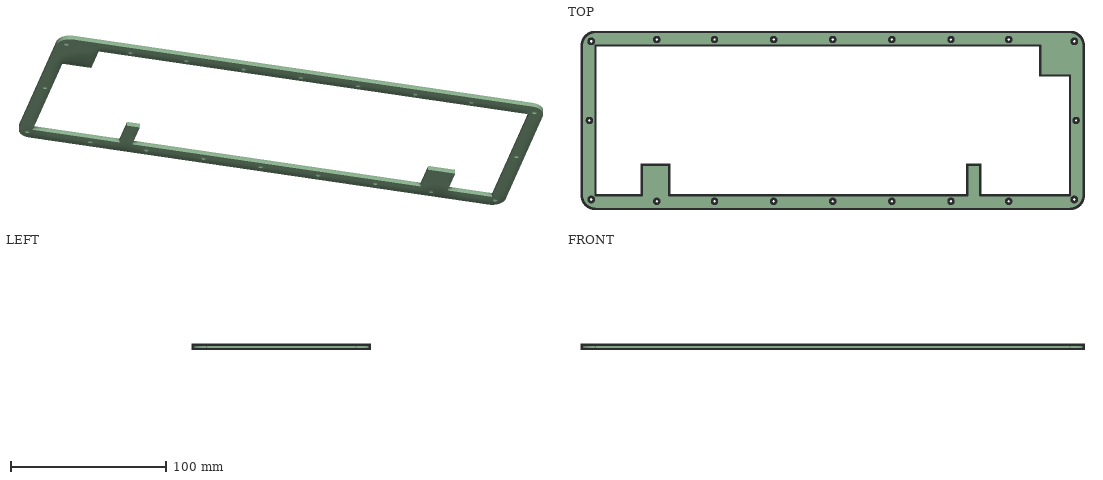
import cadquery as cq
import math

key_unit = 19.05
units_wide = 17
units_deep = 6
thickness = 3.0
border = 9.0
corner_radius = border

length = units_wide * key_unit
depth = units_deep * key_unit
opening_length = length - 2 * border
opening_depth = depth - 2 * border

front_pad_top = -1.5 * key_unit
wide_pad_centre_x = -6 * key_unit
wide_pad_width = 18.0
narrow_pad_centre_x = 90.9
narrow_pad_width = 8.5
corner_pad_size = 19.25

hole_diameter = 3.1
corner_hole_diameter = 3.3
hole_inset = 5.0
rail_hole_pitch = 2 * key_unit
outer_rail_hole_x = 113.45


def make_box(left, bottom, width, height):
    """Box of the plate thickness, given by its lower-left corner."""
    box = cq.Workplane("XY").rect(width, height, centered=False).extrude(thickness)
    return box.translate((left, bottom, 0))


def make_frame():
    """Rounded plate with a sharp-cornered rectangular opening."""
    plate = make_box(-length / 2, -depth / 2, length, depth)
    plate = plate.edges("|Z").fillet(corner_radius)
    opening = make_box(-opening_length / 2, -opening_depth / 2, opening_length, opening_depth)
    return plate.cut(opening)


def add_pads(frame):
    """Two pads on the front rail and one in the rear right corner of the opening."""
    front_edge = -opening_depth / 2
    front_pads = (
        (wide_pad_centre_x, wide_pad_width),
        (narrow_pad_centre_x, narrow_pad_width),
    )
    for centre_x, width in front_pads:
        frame = frame.union(make_box(centre_x - width / 2, front_edge, width, front_pad_top - front_edge))
    corner_pad = make_box(
        opening_length / 2 - corner_pad_size,
        opening_depth / 2 - corner_pad_size,
        corner_pad_size,
        corner_pad_size,
    )
    return frame.union(corner_pad)


def border_hole_points():
    """Hole centres along the front and rear rails and midway along each end."""
    rail_y = depth / 2 - hole_inset
    end_x = length / 2 - hole_inset
    rail_x = [step * rail_hole_pitch for step in range(-2, 3)]
    rail_x += [-outer_rail_hole_x, outer_rail_hole_x]
    points = [(x, side * rail_y) for x in rail_x for side in (-1, 1)]
    return points + [(-end_x, 0), (end_x, 0)]


def corner_hole_points():
    """Hole centres on the corner diagonals, inset from the rounded edge."""
    diagonal_step = (corner_radius - hole_inset) * math.sqrt(0.5)
    x = length / 2 - corner_radius + diagonal_step
    y = depth / 2 - corner_radius + diagonal_step
    return [(x_side * x, y_side * y) for x_side in (-1, 1) for y_side in (-1, 1)]


def drill(body, points, diameter):
    """Through holes at the given centres."""
    pins = cq.Workplane("XY").pushPoints(points).circle(diameter / 2).extrude(thickness)
    return body.cut(pins)


result = add_pads(make_frame())
result = drill(result, border_hole_points(), hole_diameter)
result = drill(result, corner_hole_points(), corner_hole_diameter)